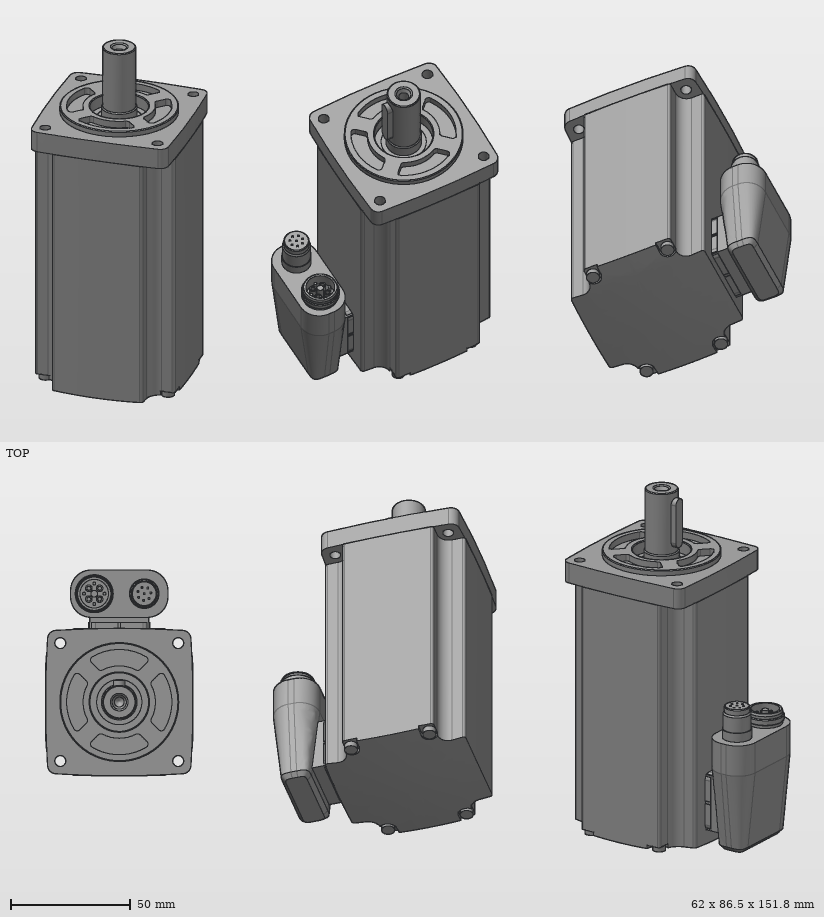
import cadquery as cq
import math


FLANGE_HALF_WIDTH = 30.9
FLANGE_BOW = 0.95
FLANGE_THICKNESS = 9.0
FLANGE_CORNER_RADIUS = 3.75
MOUNT_HOLE_DIAMETER = 4.5
MOUNT_HOLE_CIRCLE = 70.0
PILOT_DIAMETER = 50.0
PILOT_HEIGHT = 2.5
PILOT_CHAMFER = 0.4

BORE_DIAMETER = 24.6
BORE_DEPTH = 5.5
SEAL_DIAMETER = 19.0
SEAL_HEIGHT = 0.2
POCKET_OUTER_RADIUS = 22.1
POCKET_INNER_RADIUS = 15.2
POCKET_DEPTH = 3.0
POCKET_CORNER_RADIUS = 1.5
SPOKE_WIDTH = 7.0

SHAFT_DIAMETER = 14.0
SHAFT_LENGTH = 30.0
SHAFT_CHAMFER = 0.4
COLLAR_DIAMETER = 15.0
KEY_WIDTH = 5.0
KEY_LENGTH = 22.0
KEY_START = 5.0
KEY_TOP = 9.0
KEY_SEAT = 4.2
CENTRE_MOUTH_DIAMETER = 7.4
CENTRE_CONE_DIAMETER = 6.0
CENTRE_HOLE_DIAMETER = 4.13
CENTRE_HOLE_DEPTH = 14.0
MOUTH_ANGLE = 60.0
CONE_ANGLE = 30.0
DRILL_TIP_ANGLE = 59.0

BODY_HALF_WIDTH = 31.0
BODY_BOW = 0.5
BODY_BOTTOM = -121.78
DOME_RADIUS = 254.0
NOTCH_WALL = 20.0
NOTCH_INNER_RADIUS = 5.0
NOTCH_EDGE_RADIUS = 1.2

SCREW_X = 27.0
SCREW_Y = 17.2
SCREW_HEAD_DIAMETER = 5.5
SCREW_HEAD_HEIGHT = 2.5
SCREW_SEAT = BODY_BOTTOM + 3.8
RECESS_WIDTH = 7.3

HOUSING_LENGTH = 41.0
HOUSING_WIDTH = 20.0
HOUSING_CORNER_RADIUS = 8.75
HOUSING_Y = 45.5
HOUSING_TOP = -68.9
TAPER_TOP = -82.5
TAPER_BOTTOM = -116.7
HOUSING_BOTTOM = -118.7
TAPER_END_LENGTH = 33.0
TAPER_END_WIDTH = 12.8
TAPER_CORNER_TIGHTNESS = 0.85
BOTTOM_BEVEL = 1.8

MOUNT_CENTRE_Z = -100.7
MOUNT_SIZE = 25.7
MOUNT_FACE_Y = 33.5
MOUNT_ROOT = 5.0
MOUNT_CORNER_RADIUS = 2.8
MOUNT_GROOVE_WIDTH = 1.2
MOUNT_GROOVE_DEPTH = 0.3
NECK_SIZE = 24.8
NECK_END_Y = HOUSING_Y - 3.0

SOCKET_X = 10.5
POWER_BARREL_DIAMETER = 14.77
POWER_RING_DIAMETER = 16.0
POWER_RING_START = 1.3
POWER_RING_END = 4.1
POWER_RING_CHAMFER = 0.4
POWER_HEIGHT = 6.3
POWER_CHAMFER_HEIGHT = 1.0
POWER_CHAMFER_INSET = 0.4
POWER_BORE_DIAMETER = 12.0
POWER_BORE_DEPTH = 5.5
SLEEVE_CIRCLE = 6.4
SLEEVE_DIAMETER = 2.8
SLEEVE_BORE_DIAMETER = 1.65
SLEEVE_HEIGHT = 3.0
SLEEVE_COUNT = 4
PIN_DIAMETER = 1.25
PIN_CIRCLE = 8.6
CENTRE_POST_DIAMETER = 2.8
CENTRE_POST_HEIGHT = 5.0
SIGNAL_BASE_DIAMETER = 12.4
SIGNAL_BASE_HEIGHT = 4.0
SIGNAL_BARREL_DIAMETER = 11.8
SIGNAL_BARREL_END = 10.8
SIGNAL_TIP_START = 11.6
SIGNAL_TIP_DIAMETER = 10.77
SIGNAL_HEIGHT = 14.2
SIGNAL_CHAMFER = 0.4
CONTACT_DIAMETER = 0.8
CONTACT_DEPTH = 3.0
CONTACT_CIRCLE = 5.6
CONTACT_COUNT = 7
CONTACT_START_ANGLE = 7.0


def cylinder(diameter, bottom, top, x=0.0, y=0.0):
    """Upright cylinder between two heights."""
    return cq.Workplane("XY", origin=(x, y, bottom)).circle(diameter / 2).extrude(top - bottom)


def bowed_square(half_width, bow, bottom, top):
    """Square prism whose four sides bulge slightly outwards."""
    corner = half_width - bow
    return (
        cq.Workplane("XY", origin=(0, 0, bottom))
        .moveTo(-corner, -corner)
        .threePointArc((0, -half_width), (corner, -corner))
        .threePointArc((half_width, 0), (corner, corner))
        .threePointArc((0, half_width), (-corner, corner))
        .threePointArc((-half_width, 0), (-corner, -corner))
        .close()
        .extrude(top - bottom)
    )


def make_body():
    """Square body with rounded corner notches and a shallow domed bottom."""
    body = bowed_square(BODY_HALF_WIDTH, BODY_BOW, BODY_BOTTOM, -FLANGE_THICKNESS)
    notch_size = BODY_HALF_WIDTH
    notch_centre = NOTCH_WALL + notch_size / 2
    notches = (
        cq.Workplane("XY", origin=(0, 0, BODY_BOTTOM))
        .rect(2 * notch_centre, 2 * notch_centre, forConstruction=True)
        .vertices()
        .rect(notch_size, notch_size)
        .extrude(-FLANGE_THICKNESS - BODY_BOTTOM)
        .edges("|Z")
        .fillet(NOTCH_INNER_RADIUS)
    )
    body = body.cut(notches)
    outer_edges = [
        edge for edge in body.edges("|Z").vals()
        if max(abs(edge.Center().x), abs(edge.Center().y)) > BODY_HALF_WIDTH - BODY_BOW
    ]
    body = body.newObject(outer_edges).fillet(NOTCH_EDGE_RADIUS)
    dome = cq.Workplane("XY", origin=(0, 0, BODY_BOTTOM + DOME_RADIUS)).sphere(DOME_RADIUS)
    return body.intersect(dome)


def add_screws(body):
    """Four cap screws in recesses that open to the outside of the body."""
    recess_depth = SCREW_SEAT - BODY_BOTTOM
    for x_side in (-1, 1):
        for y_side in (-1, 1):
            x = x_side * SCREW_X
            y = y_side * SCREW_Y
            recess = cylinder(RECESS_WIDTH, BODY_BOTTOM, SCREW_SEAT, x, y)
            opening = cq.Workplane("XY").box(
                RECESS_WIDTH, RECESS_WIDTH, recess_depth, centered=(True, True, False)
            ).translate((x + x_side * RECESS_WIDTH / 2, y, BODY_BOTTOM))
            head = cylinder(SCREW_HEAD_DIAMETER, SCREW_SEAT - SCREW_HEAD_HEIGHT, SCREW_SEAT, x, y)
            body = body.cut(recess).cut(opening).union(head)
    return body


def make_pilot_pockets():
    """Four ring-shaped pockets separated by straight diagonal spokes."""
    floor = PILOT_HEIGHT - POCKET_DEPTH
    ring = cylinder(2 * POCKET_OUTER_RADIUS, floor, PILOT_HEIGHT)
    ring = ring.cut(cylinder(2 * POCKET_INNER_RADIUS, floor, PILOT_HEIGHT))
    for angle in (45, 135):
        spoke = cq.Workplane("XY").box(
            PILOT_DIAMETER, SPOKE_WIDTH, POCKET_DEPTH, centered=(True, True, False)
        )
        ring = ring.cut(spoke.translate((0, 0, floor)).rotate((0, 0, 0), (0, 0, 1), angle))
    corners = [
        edge for edge in ring.edges("|Z").vals()
        if min(abs(edge.Center().x), abs(edge.Center().y)) > SPOKE_WIDTH / 2
    ]
    return ring.newObject(corners).fillet(POCKET_CORNER_RADIUS)


def make_flange():
    """Flange with mounting holes, raised pilot, shaft bore and pilot pockets."""
    flange = bowed_square(FLANGE_HALF_WIDTH, FLANGE_BOW, -FLANGE_THICKNESS, 0)
    flange = flange.edges("|Z").fillet(FLANGE_CORNER_RADIUS)
    bore_floor = PILOT_HEIGHT - BORE_DEPTH
    bore = cylinder(BORE_DIAMETER, bore_floor, PILOT_HEIGHT)
    pilot = cylinder(PILOT_DIAMETER, 0, PILOT_HEIGHT).cut(bore)
    pilot = pilot.faces(">Z").edges().chamfer(PILOT_CHAMFER)
    seal = cylinder(SEAL_DIAMETER, bore_floor, bore_floor + SEAL_HEIGHT)
    hole_spacing = MOUNT_HOLE_CIRCLE / math.sqrt(2)
    holes = (
        cq.Workplane("XY", origin=(0, 0, -FLANGE_THICKNESS))
        .rect(hole_spacing, hole_spacing, forConstruction=True)
        .vertices()
        .circle(MOUNT_HOLE_DIAMETER / 2)
        .extrude(FLANGE_THICKNESS)
    )
    flange = flange.cut(bore).union(pilot)
    return flange.union(seal).cut(make_pilot_pockets()).cut(holes)


def make_centre_hole():
    """Stepped conical centre hole in the shaft end, with a drill tip."""
    mouth_radius = CENTRE_MOUTH_DIAMETER / 2
    cone_radius = CENTRE_CONE_DIAMETER / 2
    hole_radius = CENTRE_HOLE_DIAMETER / 2
    mouth_end = SHAFT_LENGTH - (mouth_radius - cone_radius) / math.tan(math.radians(MOUTH_ANGLE))
    cone_end = mouth_end - (cone_radius - hole_radius) / math.tan(math.radians(CONE_ANGLE))
    hole_end = SHAFT_LENGTH - CENTRE_HOLE_DEPTH
    tip = hole_end - hole_radius / math.tan(math.radians(DRILL_TIP_ANGLE))
    return (
        cq.Workplane("XZ")
        .moveTo(0, SHAFT_LENGTH)
        .lineTo(mouth_radius, SHAFT_LENGTH)
        .lineTo(cone_radius, mouth_end)
        .lineTo(hole_radius, cone_end)
        .lineTo(hole_radius, hole_end)
        .lineTo(0, tip)
        .close()
        .revolve(360, (0, 0, 0), (0, 1, 0))
    )


def make_shaft():
    """Shaft with a collar in the bore, a round-ended key and a centre hole."""
    base = -FLANGE_THICKNESS
    shaft = cylinder(SHAFT_DIAMETER, base, SHAFT_LENGTH).faces(">Z").edges().chamfer(SHAFT_CHAMFER)
    collar_chamfer = (COLLAR_DIAMETER - SHAFT_DIAMETER) / 2
    collar = cylinder(COLLAR_DIAMETER, base, PILOT_HEIGHT).faces(">Z").edges().chamfer(collar_chamfer)
    key = (
        cq.Workplane("XZ", origin=(0, KEY_SEAT, KEY_START + KEY_LENGTH / 2))
        .slot2D(KEY_LENGTH, KEY_WIDTH, 90)
        .extrude(KEY_SEAT - KEY_TOP)
    )
    return shaft.union(collar).union(key).cut(make_centre_hole())


def taper_section(height, inset):
    """Closed section near the lower end of the housing, with tight rounded corners."""
    flat_x = HOUSING_LENGTH / 2 - HOUSING_CORNER_RADIUS
    flat_y = HOUSING_WIDTH / 2 - HOUSING_CORNER_RADIUS
    half_x = TAPER_END_LENGTH / 2 - inset
    half_y = TAPER_END_WIDTH / 2 - inset
    pull_x = flat_x + TAPER_CORNER_TIGHTNESS * (half_x - flat_x)
    pull_y = flat_y + TAPER_CORNER_TIGHTNESS * (half_y - flat_y)
    section = cq.Workplane("XY", origin=(0, HOUSING_Y, height)).moveTo(-flat_x, -half_y)
    for x, y in ((1, -1), (1, 1), (-1, 1), (-1, -1)):
        corner = [
            (x * flat_x, y * half_y),
            (x * pull_x, y * half_y),
            (x * half_x, y * pull_y),
            (x * half_x, y * flat_y),
        ]
        if x * y > 0:
            corner.reverse()
        section = section.lineTo(*corner[0]).bezier(corner)
    return section.close().val()


def make_housing():
    """Rounded connector housing that tapers towards its bevelled lower end."""
    upper = (
        cq.Workplane("XY", origin=(0, HOUSING_Y, TAPER_TOP))
        .rect(HOUSING_LENGTH, HOUSING_WIDTH)
        .extrude(HOUSING_TOP - TAPER_TOP)
        .edges("|Z")
        .fillet(HOUSING_CORNER_RADIUS)
    )
    sections = [
        upper.faces("<Z").wires().val(),
        taper_section(TAPER_BOTTOM, 0),
        taper_section(HOUSING_BOTTOM, BOTTOM_BEVEL),
    ]
    lower = cq.Solid.makeLoft(sections, True)
    return upper.union(cq.Workplane(lower))


def make_mount():
    """Square plate with a groove in each edge, and the neck that carries the housing."""
    start_y = BODY_HALF_WIDTH - MOUNT_ROOT
    plane = cq.Workplane("XZ", origin=(0, start_y, MOUNT_CENTRE_Z))
    plate = (
        plane.rect(MOUNT_SIZE, MOUNT_SIZE)
        .extrude(start_y - MOUNT_FACE_Y)
        .edges("|Y")
        .fillet(MOUNT_CORNER_RADIUS)
    )
    groove_length = 2 * MOUNT_GROOVE_DEPTH
    for x, z in ((1, 0), (-1, 0), (0, 1), (0, -1)):
        groove = plane.center(x * MOUNT_SIZE / 2, z * MOUNT_SIZE / 2).rect(
            groove_length if x else MOUNT_GROOVE_WIDTH,
            groove_length if z else MOUNT_GROOVE_WIDTH,
        ).extrude(start_y - MOUNT_FACE_Y)
        plate = plate.cut(groove)
    neck = plane.rect(NECK_SIZE, NECK_SIZE).extrude(start_y - NECK_END_Y)
    return plate.union(neck)


def make_power_socket():
    """Larger socket: ringed barrel, open at the top, with sleeves, pins and a centre post."""
    floor = POWER_HEIGHT - POWER_BORE_DEPTH
    barrel = cylinder(POWER_BARREL_DIAMETER, 0, POWER_HEIGHT)
    barrel = barrel.faces(">Z").edges().chamfer(POWER_CHAMFER_HEIGHT, POWER_CHAMFER_INSET)
    ring = cylinder(POWER_RING_DIAMETER, POWER_RING_START, POWER_RING_END)
    ring = ring.faces("|Z").edges().chamfer(POWER_RING_CHAMFER)
    socket = barrel.union(ring).cut(cylinder(POWER_BORE_DIAMETER, floor, POWER_HEIGHT))
    for index in range(SLEEVE_COUNT):
        pin_angle = 2 * math.pi * index / SLEEVE_COUNT
        pin_x = PIN_CIRCLE / 2 * math.cos(pin_angle)
        pin_y = PIN_CIRCLE / 2 * math.sin(pin_angle)
        sleeve_angle = pin_angle + math.pi / SLEEVE_COUNT
        sleeve_x = SLEEVE_CIRCLE / 2 * math.cos(sleeve_angle)
        sleeve_y = SLEEVE_CIRCLE / 2 * math.sin(sleeve_angle)
        sleeve_top = floor + SLEEVE_HEIGHT
        socket = (
            socket
            .union(cylinder(SLEEVE_DIAMETER, floor, sleeve_top, sleeve_x, sleeve_y))
            .cut(cylinder(SLEEVE_BORE_DIAMETER, floor, sleeve_top, sleeve_x, sleeve_y))
            .union(cylinder(PIN_DIAMETER, floor, sleeve_top, pin_x, pin_y))
        )
    return socket.union(cylinder(CENTRE_POST_DIAMETER, floor, floor + CENTRE_POST_HEIGHT))


def make_signal_socket():
    """Smaller, taller socket with one central contact hole and a ring of others."""
    base = cylinder(SIGNAL_BASE_DIAMETER, 0, SIGNAL_BASE_HEIGHT)
    barrel = cylinder(SIGNAL_BARREL_DIAMETER, 0, SIGNAL_BARREL_END)
    cone = (
        cq.Workplane("XY", origin=(0, 0, SIGNAL_BARREL_END))
        .circle(SIGNAL_BARREL_DIAMETER / 2)
        .workplane(offset=SIGNAL_TIP_START - SIGNAL_BARREL_END)
        .circle(SIGNAL_TIP_DIAMETER / 2)
        .loft(ruled=True)
    )
    tip = cylinder(SIGNAL_TIP_DIAMETER, SIGNAL_TIP_START, SIGNAL_HEIGHT)
    tip = tip.faces(">Z").edges().chamfer(SIGNAL_CHAMFER)
    contacts = (
        cq.Workplane("XY", origin=(0, 0, SIGNAL_HEIGHT))
        .polarArray(CONTACT_CIRCLE / 2, CONTACT_START_ANGLE, 360, CONTACT_COUNT)
        .circle(CONTACT_DIAMETER / 2)
        .extrude(-CONTACT_DEPTH)
    )
    centre_contact = cylinder(CONTACT_DIAMETER, SIGNAL_HEIGHT - CONTACT_DEPTH, SIGNAL_HEIGHT)
    return base.union(barrel).union(cone).union(tip).cut(contacts).cut(centre_contact)


def make_connector():
    """Housing with its mount and both sockets."""
    power = make_power_socket().translate((-SOCKET_X, HOUSING_Y, HOUSING_TOP))
    signal = make_signal_socket().translate((SOCKET_X, HOUSING_Y, HOUSING_TOP))
    return make_housing().union(make_mount()).union(power).union(signal)


motor = add_screws(make_body()).union(make_flange()).union(make_shaft())
result = motor.union(make_connector())